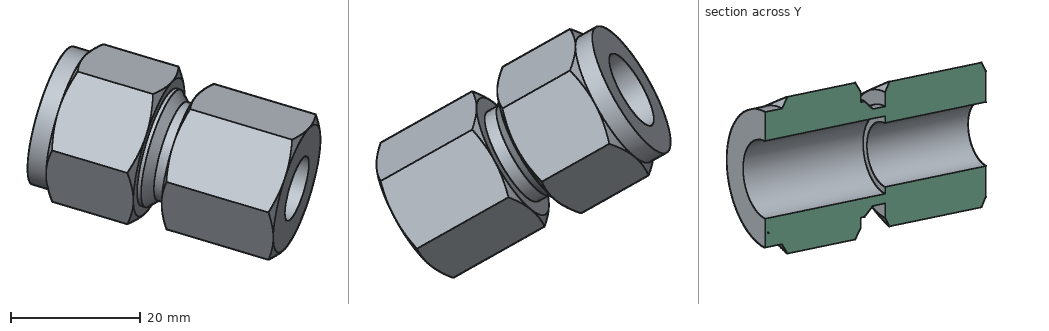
import cadquery as cq
import math


total_length = 40.39
collar_end = 3.1
nut_end = 17.55
ring_end = 18.2
cone_end = 19.75
body_start = 21.9

nut_across_flats = 22.35
body_across_flats = 20.64
nut_chamfer_length = 1.0
body_chamfer_length = 0.8

collar_diameter = nut_across_flats
ring_diameter = 19.05
neck_diameter = 16.0

socket_diameter = 12.7
socket_depth = body_start
passage_diameter = 10.45


def cylinder(diameter, start, end):
    """Solid cylinder on the X axis between two stations."""
    return cq.Workplane("YZ", origin=(start, 0, 0)).circle(diameter / 2).extrude(end - start)


def revolve_about_axis(profile_points):
    """Solid of revolution about X from (x, radius) points."""
    return cq.Workplane("XY").polyline(profile_points).close().revolve(360, (0, 0, 0), (1, 0, 0))


def chamfered_hexagon(across_flats, start, end, chamfer_length):
    """Hexagonal prism with its corners turned off conically at both ends."""
    corner_diameter = across_flats / math.cos(math.pi / 6)
    prism = (
        cq.Workplane("YZ", origin=(start, 0, 0))
        .transformed(rotate=(0, 0, 90))
        .polygon(6, corner_diameter)
        .extrude(end - start)
    )
    face_radius = across_flats / 2
    corner_radius = corner_diameter / 2
    envelope = revolve_about_axis([
        (start, 0),
        (start, face_radius),
        (start + chamfer_length, corner_radius),
        (end - chamfer_length, corner_radius),
        (end, face_radius),
        (end, 0),
    ])
    return prism.intersect(envelope)


def connecting_neck():
    """Ring behind the nut, tapering to the neck that joins the body."""
    ring_radius = ring_diameter / 2
    neck_radius = neck_diameter / 2
    return revolve_about_axis([
        (nut_end, 0),
        (nut_end, ring_radius),
        (ring_end, ring_radius),
        (cone_end, neck_radius),
        (body_start, neck_radius),
        (body_start, 0),
    ])


collar = cylinder(collar_diameter, 0, collar_end)
nut = chamfered_hexagon(nut_across_flats, collar_end, nut_end, nut_chamfer_length)
body = chamfered_hexagon(body_across_flats, body_start, total_length, body_chamfer_length)
socket = cylinder(socket_diameter, 0, socket_depth)
passage = cylinder(passage_diameter, 0, total_length)

outside = collar.union(nut).union(connecting_neck()).union(body)
result = outside.cut(socket).cut(passage)